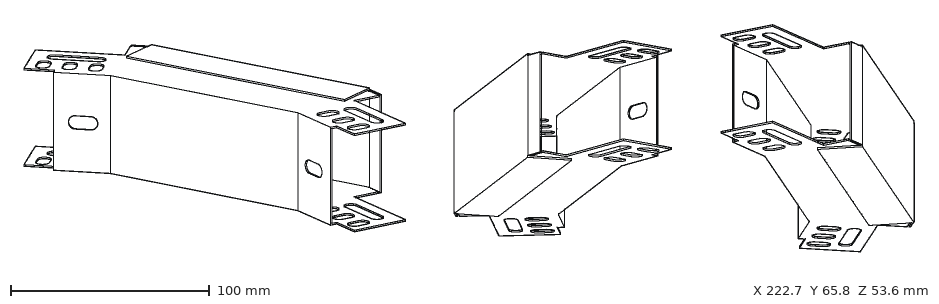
import cadquery as cq
import math

sheet = 0.9
bend_angle = 22.5
cos_bend = math.cos(math.radians(bend_angle))
sin_bend = math.sin(math.radians(bend_angle))
tan_half_bend = math.tan(math.radians(bend_angle / 2))

channel_height = 51.8
channel_depth = 50.0
half_front_length = 56.4

arm_wall_length = 29.2
tab_end = 45.0
tab_front = 3.72
tab_back = 34.98
plate_side_end = -0.9

slot_width = 7.0
wall_slot_length = 15.0
wall_slot_place = 14.0
long_slot_length = 30.0
long_slot_place = 22.0
long_slot_depth = 25.2
short_slot_length = 12.0
short_slot_depth = 12.0
short_slot_pitch = 13.5
short_slot_row_place = 23.0

cover_back = 52.0
cover_front = cover_back - sheet
cover_flange_width = 23.2
half_flange_length = 65.6
half_back_length = 66.2
wing_length = 9.8
half_inner_length = half_back_length - sheet * tan_half_bend


def arm_point(along, inward):
    """XY point on the right arm: distance along it from the bend, and inward from its front face."""
    return (
        half_front_length + along * cos_bend + inward * sin_bend,
        -along * sin_bend + inward * cos_bend,
    )


def mirrored_outline(right_side):
    """Closed outline from the points of its right half, completed by mirroring across X = 0."""
    left_side = [(-x, y) for x, y in reversed(right_side)]
    return cq.Workplane("XY").polyline(right_side + left_side).close()


def on_both_arms(right_cutter):
    """The cutter of the right arm together with its mirror image on the left arm."""
    return right_cutter.union(right_cutter.mirror("YZ"))


def plate_slot(along, inward, length, direction):
    """Vertical slot cutter through both plates of the right arm."""
    return (
        cq.Workplane("XY")
        .slot2D(length, slot_width, direction)
        .extrude(channel_height, both=True)
        .translate((*arm_point(along, inward), 0))
    )


def wall_slot():
    """Slot cutter through the front wall of the right arm, lengthwise along the arm."""
    return (
        cq.Workplane("XZ")
        .slot2D(wall_slot_length, slot_width)
        .extrude(2 * sheet, both=True)
        .rotate((0, 0, 0), (0, 0, 1), -bend_angle)
        .translate((*arm_point(wall_slot_place, 0), 0))
    )


def make_channel():
    """Front wall bent at both ends, with a plate along its top and its bottom edge."""
    plate_outline = mirrored_outline([
        (half_front_length, 0),
        arm_point(arm_wall_length, 0),
        arm_point(arm_wall_length, tab_front),
        arm_point(tab_end, tab_front),
        arm_point(tab_end, tab_back),
        arm_point(plate_side_end, tab_back),
        arm_point(plate_side_end, channel_depth),
        (half_front_length + channel_depth * tan_half_bend, channel_depth),
    ])
    wall_outline = mirrored_outline([
        (half_front_length, 0),
        arm_point(arm_wall_length, 0),
        arm_point(arm_wall_length, sheet),
        (half_front_length + sheet * tan_half_bend, sheet),
    ])
    plate = plate_outline.extrude(sheet)
    channel = wall_outline.extrude(channel_height / 2, both=True)
    channel = channel.union(plate.translate((0, 0, channel_height / 2 - sheet)))
    channel = channel.union(plate.translate((0, 0, -channel_height / 2)))

    channel = channel.cut(on_both_arms(wall_slot()))
    long_slot = plate_slot(long_slot_place, long_slot_depth, long_slot_length, -bend_angle)
    channel = channel.cut(on_both_arms(long_slot))
    for step in (-1, 0, 1):
        along = short_slot_row_place + step * short_slot_pitch
        slot = plate_slot(along, short_slot_depth, short_slot_length, 90 - bend_angle)
        channel = channel.cut(on_both_arms(slot))
    return channel


def make_cover():
    """Back wall with a bent wing at each end, and flanges lying on the outside of the plates."""
    wing_tip_x = half_back_length + wing_length * cos_bend
    wing_tip_y = cover_back - wing_length * sin_bend
    wall_outline = mirrored_outline([
        (half_inner_length, cover_front),
        (wing_tip_x - sheet * sin_bend, wing_tip_y - sheet * cos_bend),
        (wing_tip_x, wing_tip_y),
        (half_back_length, cover_back),
    ])
    cover = wall_outline.extrude(channel_height / 2, both=True)
    for flange_bottom in (channel_height / 2, -channel_height / 2 - sheet):
        flange = cq.Workplane("XY").box(
            2 * half_flange_length, cover_flange_width, sheet, centered=(True, False, False)
        )
        cover = cover.union(flange.translate((0, cover_back - cover_flange_width, flange_bottom)))
    return cover


channel = make_channel()
cover = make_cover()
result = cq.Compound.makeCompound([channel.val(), cover.val()])